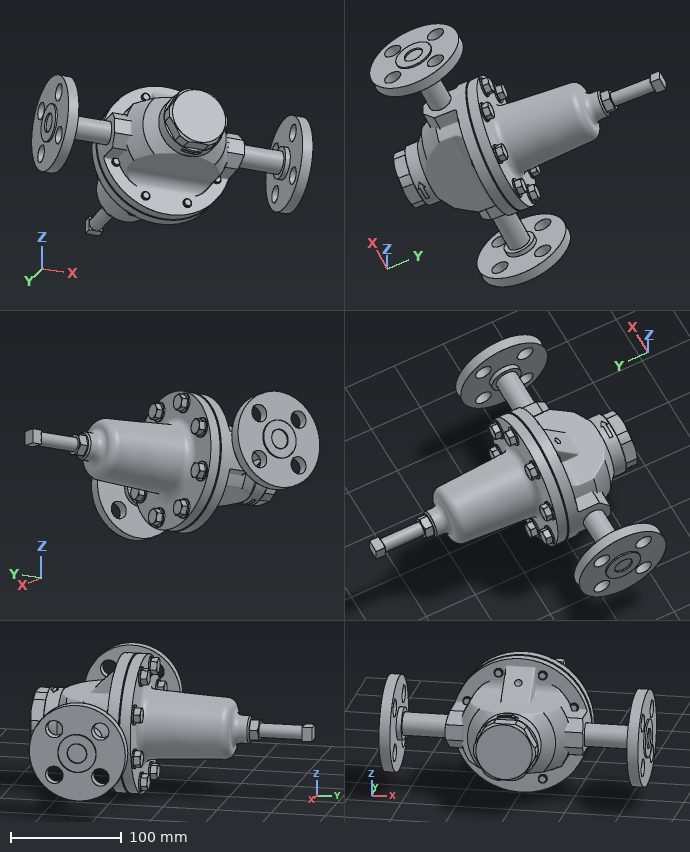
import cadquery as cq
import math


PIPE_SPAN = 241.2
STEM_END_Y = 192.0
CAP_END_Y = -64.3

PIPE_DIA = 21.5
PIPE_FLANGE_DIA = 89.0
PIPE_FLANGE_THICKNESS = 10.3
FACE_DIA = 35.0
FACE_HEIGHT = 1.5
HUB_DIA = 30.0
HUB_LENGTH = 4.5
BORE_DIA = 18.0
BORE_DEPTH = 1.5
PIPE_HOLE_DIA = 16.0
PIPE_HOLE_CIRCLE_DIA = 60.2
PIPE_HOLE_COUNT = 4

MAIN_FLANGE_DIA = 127.0
MAIN_FLANGE_BOTTOM_Y = 14.5
MAIN_FLANGE_TOP_Y = 36.7
DIAPHRAGM_Y = 26.0
DIAPHRAGM_THICKNESS = 1.0
DIAPHRAGM_RECESS = 0.5

BOLT_COUNT = 8
BOLT_CIRCLE_RADIUS = 53.0
BOLT_DIA = 8.0
BOLT_PROTRUSION = 2.3
BOLT_TIP_CHAMFER = 0.8
WASHER_DIA = 18.0
WASHER_THICKNESS = 1.3
BOLT_HEAD_ACROSS_FLATS = 13.3
BOLT_HEAD_HEIGHT = 6.2
BOLT_HEAD_TURN = -7.5

BONNET_FOOT_RADIUS = 31.8
BONNET_SHOULDER_RADIUS = 28.2
BONNET_FOOT_FILLET = 7.7
BONNET_SHOULDER_ROUND = 8.2
BONNET_TOP_Y = 119.2
NECK_RADIUS = 12.8
NECK_FILLET = 6.5
NECK_TOP_Y = 134.5
NECK_CHAMFER = 1.5

NUT_ACROSS_FLATS = 18.5
NUT_HEIGHT = 8.2
NUT_TURN = 11.5
STEM_DIA = 13.3
STEM_SQUARE_LENGTH = 9.5

BODY_RADIUS = 50.8
BODY_CYLINDER_END_Y = -11.3
BODY_CREASE_RADIUS = 40.5
BODY_CREASE_Y = -29.5
BODY_TIP_RADIUS = 27.2
BODY_TIP_Y = -40.2
BODY_HALF_WIDTH = 28.5
BODY_FLARE = 12.8
BODY_EDGE_ROUND = 1.8

COLLAR_RADIUS = 29.0
COLLAR_TOP_Y = -38.7
COLLAR_END_Y = -51.5
CAP_ACROSS_FLATS = 53.3
CAP_CORNER_RADIUS = 28.5
CAP_FACE_RADIUS = 26.0

BOSS_ACROSS_FLATS = 34.9
BOSS_FLANGE_FILLET = 1.8
BOSS_ROOT_FILLET = 1.3

LUG_WIDTH = 27.5
LUG_TOP_Z = 55.5
LUG_EDGE_ROUND = 1.5
LUG_ROOT_FILLET = 1.5
LUG_HOLE_DIA = 6.7
LUG_HOLE_Z = 44.0

ARROW_Y = -46.5
ARROW_LENGTH = 19.2
ARROW_HEAD_LENGTH = 6.2
ARROW_HEAD_WIDTH = 7.0
ARROW_SHAFT_WIDTH = 3.3
ARROW_DEPTH = 0.3

SELECT_MARGIN = 0.3

MAIN_FLANGE_RADIUS = MAIN_FLANGE_DIA / 2


def y_plane(y):
    """Sketch plane at height y, facing +Y, with its local axes along +X and -Z."""
    return cq.Workplane(cq.Plane(origin=(0, y, 0), xDir=(1, 0, 0), normal=(0, 1, 0)))


def y_cylinder(radius, start_y, end_y):
    return y_plane(start_y).circle(radius).extrude(end_y - start_y)


def revolve_about_y(outline):
    return outline.close().revolve(360, (0, 0, 0), (0, 1, 0))


def both_ends(solid):
    """The solid together with its mirror image across the YZ plane."""
    return solid.union(solid.mirror("YZ"))


def hex_prism(across_flats, start_y, height, turn):
    """Hexagon along Y with a corner at the given angle from +X towards +Z."""
    corner_dia = across_flats / math.cos(math.pi / 6)
    prism = y_plane(start_y).polygon(6, corner_dia).extrude(height)
    return prism.rotate((0, 0, 0), (0, 1, 0), -turn)


def chamfered_cylinder(radius, face_radius, start_y, end_y):
    """Cylinder with a shallow 30 degree chamfer at end_y, used to trim hexagon corners."""
    slope = math.tan(math.pi / 6) * (radius - face_radius)
    chamfer_y = end_y - math.copysign(slope, end_y - start_y)
    outline = (
        cq.Workplane("XY").moveTo(0, start_y).lineTo(radius, start_y)
        .lineTo(radius, chamfer_y).lineTo(face_radius, end_y).lineTo(0, end_y)
    )
    return revolve_about_y(outline)


def chamfered_hex(across_flats, start_y, height, turn):
    """Hexagon whose outer end has the corners chamfered down to the flats."""
    corner_radius = across_flats / 2 / math.cos(math.pi / 6)
    prism = hex_prism(across_flats, start_y, height, turn)
    return prism.intersect(chamfered_cylinder(corner_radius, across_flats / 2, start_y, start_y + height))


def pipe_end():
    """Pipe stub, hub and flange on the +X side."""
    face_x = PIPE_SPAN / 2
    flange_outer_x = face_x - FACE_HEIGHT
    flange_inner_x = flange_outer_x - PIPE_FLANGE_THICKNESS
    hub_x = flange_inner_x - HUB_LENGTH

    def disc(dia, start_x, end_x):
        return cq.Workplane("YZ", origin=(start_x, 0, 0)).circle(dia / 2).extrude(end_x - start_x)

    end = disc(PIPE_FLANGE_DIA, flange_inner_x, flange_outer_x)
    end = end.union(disc(FACE_DIA, flange_outer_x, face_x))
    end = end.union(disc(HUB_DIA, hub_x, flange_inner_x))
    end = end.union(disc(PIPE_DIA, 0, hub_x))
    holes = (
        cq.Workplane("YZ", origin=(flange_inner_x, 0, 0))
        .polarArray(PIPE_HOLE_CIRCLE_DIA / 2, 180 / PIPE_HOLE_COUNT, 360, PIPE_HOLE_COUNT)
        .circle(PIPE_HOLE_DIA / 2).extrude(PIPE_FLANGE_THICKNESS)
    )
    return end.cut(holes).cut(disc(BORE_DIA, face_x - BORE_DEPTH, face_x))


def main_flange():
    half_gap = DIAPHRAGM_THICKNESS / 2
    lower = y_cylinder(MAIN_FLANGE_RADIUS, MAIN_FLANGE_BOTTOM_Y, DIAPHRAGM_Y - half_gap)
    upper = y_cylinder(MAIN_FLANGE_RADIUS, DIAPHRAGM_Y + half_gap, MAIN_FLANGE_TOP_Y)
    diaphragm = y_cylinder(
        MAIN_FLANGE_RADIUS - DIAPHRAGM_RECESS, DIAPHRAGM_Y - half_gap, DIAPHRAGM_Y + half_gap
    )
    return lower.union(diaphragm).union(upper)


def flange_bolt(angle):
    """One bolt with its washer, at an angle from +X towards +Z."""
    tip_y = MAIN_FLANGE_BOTTOM_Y - BOLT_PROTRUSION
    head_y = MAIN_FLANGE_TOP_Y + WASHER_THICKNESS
    bolt = y_cylinder(BOLT_DIA / 2, tip_y, head_y).faces("<Y").chamfer(BOLT_TIP_CHAMFER)
    bolt = bolt.union(y_cylinder(WASHER_DIA / 2, MAIN_FLANGE_TOP_Y, head_y))
    bolt = bolt.union(chamfered_hex(BOLT_HEAD_ACROSS_FLATS, head_y, BOLT_HEAD_HEIGHT, BOLT_HEAD_TURN))
    bolt = bolt.translate((BOLT_CIRCLE_RADIUS, 0, 0))
    return bolt.rotate((0, 0, 0), (0, 1, 0), -angle)


def bonnet():
    """Tapered bonnet with a flared foot, round shoulder and neck."""
    diagonal = math.sqrt(0.5)
    foot_y = MAIN_FLANGE_TOP_Y + BONNET_FOOT_FILLET
    flare_center_r = BONNET_FOOT_RADIUS + BONNET_FOOT_FILLET
    shoulder_y = BONNET_TOP_Y - BONNET_SHOULDER_ROUND
    shoulder_center_r = BONNET_SHOULDER_RADIUS - BONNET_SHOULDER_ROUND
    neck_center_r = NECK_RADIUS + NECK_FILLET
    neck_y = BONNET_TOP_Y + NECK_FILLET
    outline = (
        cq.Workplane("XY").moveTo(0, MAIN_FLANGE_TOP_Y)
        .lineTo(flare_center_r, MAIN_FLANGE_TOP_Y)
        .threePointArc(
            (flare_center_r - BONNET_FOOT_FILLET * diagonal, foot_y - BONNET_FOOT_FILLET * diagonal),
            (BONNET_FOOT_RADIUS, foot_y),
        )
        .lineTo(BONNET_SHOULDER_RADIUS, shoulder_y)
        .threePointArc(
            (shoulder_center_r + BONNET_SHOULDER_ROUND * diagonal,
             shoulder_y + BONNET_SHOULDER_ROUND * diagonal),
            (shoulder_center_r, BONNET_TOP_Y),
        )
        .lineTo(neck_center_r, BONNET_TOP_Y)
        .threePointArc(
            (neck_center_r - NECK_FILLET * diagonal, neck_y - NECK_FILLET * diagonal),
            (NECK_RADIUS, neck_y),
        )
        .lineTo(NECK_RADIUS, NECK_TOP_Y - NECK_CHAMFER)
        .lineTo(NECK_RADIUS - NECK_CHAMFER, NECK_TOP_Y)
        .lineTo(0, NECK_TOP_Y)
    )
    return revolve_about_y(outline)


def stem_and_nut():
    nut = chamfered_hex(NUT_ACROSS_FLATS, NECK_TOP_Y, NUT_HEIGHT, NUT_TURN)
    square_y = STEM_END_Y - STEM_SQUARE_LENGTH
    rod = y_cylinder(STEM_DIA / 2, NECK_TOP_Y, square_y)
    square = y_plane(square_y).rect(STEM_DIA, STEM_DIA).extrude(STEM_SQUARE_LENGTH)
    return nut.union(rod).union(square)


def flat_sided_slab():
    """Block between the flat sides of the body, flaring out to the main flange."""
    flare_y = MAIN_FLANGE_BOTTOM_Y - BODY_FLARE
    flare_mid = BODY_FLARE * (1 - math.sqrt(0.5))
    flare_z = BODY_HALF_WIDTH + BODY_FLARE
    half = (
        cq.Workplane("YZ").moveTo(BODY_TIP_Y, 0)
        .lineTo(BODY_TIP_Y, BODY_HALF_WIDTH)
        .lineTo(flare_y, BODY_HALF_WIDTH)
        .threePointArc(
            (MAIN_FLANGE_BOTTOM_Y - flare_mid, BODY_HALF_WIDTH + flare_mid),
            (MAIN_FLANGE_BOTTOM_Y, flare_z),
        )
        .lineTo(MAIN_FLANGE_BOTTOM_Y, 0)
        .close().extrude(BODY_RADIUS, both=True)
    )
    return half.union(half.mirror("XY"))


def valve_body():
    """Turned body with two conical steps, cut flat at plus and minus Z."""
    outline = (
        cq.Workplane("XY").moveTo(0, MAIN_FLANGE_BOTTOM_Y)
        .lineTo(BODY_RADIUS, MAIN_FLANGE_BOTTOM_Y)
        .lineTo(BODY_RADIUS, BODY_CYLINDER_END_Y)
        .lineTo(BODY_CREASE_RADIUS, BODY_CREASE_Y)
        .lineTo(BODY_TIP_RADIUS, BODY_TIP_Y)
        .lineTo(0, BODY_TIP_Y)
    )
    body = revolve_about_y(outline).intersect(flat_sided_slab())
    return body.faces("|Z").edges("not |X").fillet(BODY_EDGE_ROUND)


def boss_ring():
    """Space between the core of the body and the flange rim that the bosses fill."""
    bottom_y = -BOSS_ACROSS_FLATS / 2
    rim = y_cylinder(MAIN_FLANGE_RADIUS, bottom_y, MAIN_FLANGE_BOTTOM_Y)
    return rim.cut(y_cylinder(BODY_CREASE_RADIUS, bottom_y, MAIN_FLANGE_BOTTOM_Y))


def pipe_bosses():
    """Octagonal bosses around the pipe, walled up to the main flange and ending flush with its rim."""
    half_flats = BOSS_ACROSS_FLATS / 2
    half_edge = half_flats * math.tan(math.pi / 8)
    bar = (
        cq.Workplane("YZ")
        .polyline([
            (MAIN_FLANGE_BOTTOM_Y, half_flats), (-half_edge, half_flats), (-half_flats, half_edge),
            (-half_flats, -half_edge), (-half_edge, -half_flats), (MAIN_FLANGE_BOTTOM_Y, -half_flats),
        ])
        .close().extrude(MAIN_FLANGE_RADIUS, both=True)
    )
    return bar.intersect(boss_ring())


def boss_flange_fillets():
    """Concave strips between the boss walls and the underside of the main flange."""
    wall_z = BOSS_ACROSS_FLATS / 2
    arc_mid = BOSS_FLANGE_FILLET * (1 - math.sqrt(0.5))
    strip = (
        cq.Workplane("YZ").moveTo(MAIN_FLANGE_BOTTOM_Y, wall_z)
        .lineTo(MAIN_FLANGE_BOTTOM_Y - BOSS_FLANGE_FILLET, wall_z)
        .threePointArc(
            (MAIN_FLANGE_BOTTOM_Y - arc_mid, wall_z + arc_mid),
            (MAIN_FLANGE_BOTTOM_Y, wall_z + BOSS_FLANGE_FILLET),
        )
        .close().extrude(MAIN_FLANGE_RADIUS, both=True)
        .intersect(boss_ring())
    )
    return strip.union(strip.mirror("XY"))


def lug():
    """Wedge with a 45 degree face running from the main flange down to the flat side of the body."""
    drop = LUG_TOP_Z - BODY_HALF_WIDTH
    wedge = (
        cq.Workplane("YZ").moveTo(MAIN_FLANGE_BOTTOM_Y, LUG_TOP_Z)
        .lineTo(MAIN_FLANGE_BOTTOM_Y - drop, BODY_HALF_WIDTH)
        .lineTo(MAIN_FLANGE_BOTTOM_Y, BODY_HALF_WIDTH)
        .close().extrude(LUG_WIDTH / 2, both=True)
    )
    return wedge.edges("not (|X or |Y or |Z)").fillet(LUG_EDGE_ROUND)


def lug_hole():
    """Conical 90 degree centre mark, square to the sloping face of the lug."""
    radius = LUG_HOLE_DIA / 2
    hole_y = MAIN_FLANGE_BOTTOM_Y - (LUG_TOP_Z - LUG_HOLE_Z)
    inward = cq.Vector(0, 1, -1)
    return cq.Workplane(cq.Solid.makeCone(radius, 0, radius, cq.Vector(0, hole_y, LUG_HOLE_Z), inward))


def body_casting():
    """Body, main flange, lug and pipe bosses, blended together with root fillets."""
    casting = valve_body().union(main_flange()).union(lug())
    lug_zone = cq.selectors.BoxSelector(
        (-LUG_WIDTH / 2 - SELECT_MARGIN, BODY_CREASE_Y, BODY_HALF_WIDTH - SELECT_MARGIN),
        (LUG_WIDTH / 2 + SELECT_MARGIN, MAIN_FLANGE_BOTTOM_Y + SELECT_MARGIN, LUG_TOP_Z + SELECT_MARGIN),
    )
    casting = casting.edges(lug_zone).edges("not |(0, 1, 1)").fillet(LUG_ROOT_FILLET)
    casting = casting.cut(lug_hole()).union(pipe_bosses())
    half_flats = BOSS_ACROSS_FLATS / 2
    for side in (-1, 1):
        boss_zone = cq.selectors.BoxSelector(
            (side * BODY_CREASE_RADIUS, -half_flats - SELECT_MARGIN, -half_flats - SELECT_MARGIN),
            (side * BODY_RADIUS, MAIN_FLANGE_BOTTOM_Y - SELECT_MARGIN, half_flats + SELECT_MARGIN),
        )
        casting = casting.edges(boss_zone).fillet(BOSS_ROOT_FILLET)
    return casting.union(boss_flange_fillets())


def collar_and_cap():
    collar = y_cylinder(COLLAR_RADIUS, COLLAR_END_Y, COLLAR_TOP_Y)
    cap = hex_prism(CAP_ACROSS_FLATS, CAP_END_Y, COLLAR_END_Y - CAP_END_Y, 0)
    trim = chamfered_cylinder(CAP_CORNER_RADIUS, CAP_FACE_RADIUS, COLLAR_END_Y, CAP_END_Y)
    return collar.union(cap.intersect(trim))


def flow_arrows():
    """Shallow arrows pointing along +X, on the +Z and -Z sides of the collar."""
    tip_x = ARROW_LENGTH / 2
    neck_x = tip_x - ARROW_HEAD_LENGTH
    half_shaft = ARROW_SHAFT_WIDTH / 2
    half_head = ARROW_HEAD_WIDTH / 2
    arrow = (
        cq.Workplane("XY", origin=(0, ARROW_Y, 0))
        .polyline([
            (-tip_x, -half_shaft), (neck_x, -half_shaft), (neck_x, -half_head), (tip_x, 0),
            (neck_x, half_head), (neck_x, half_shaft), (-tip_x, half_shaft),
        ])
        .close().extrude(COLLAR_RADIUS, both=True)
    )
    core = y_cylinder(COLLAR_RADIUS - ARROW_DEPTH, COLLAR_END_Y, COLLAR_TOP_Y)
    return arrow.cut(core)


result = body_casting()
result = result.union(bonnet()).union(stem_and_nut())
result = result.union(collar_and_cap()).cut(flow_arrows())
result = result.union(both_ends(pipe_end()))
for index in range(BOLT_COUNT):
    result = result.union(flange_bolt((index + 0.5) * 360 / BOLT_COUNT))